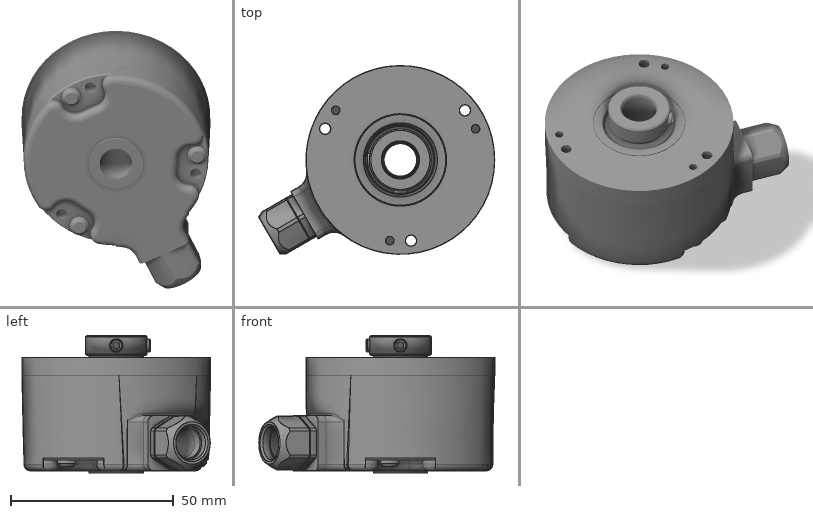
import cadquery as cq
import math


top_of_part = 42.3
case_bottom = 0.7
cover_bottom = 29.95
cover_top = 35.6

case_radius = 29.0
case_foot_radius = 28.35
foot_round = 2.0

shaft_radius = 8.35
bore_radius = 5.0
upper_bore_radius = 5.3
bore_mouth_radius = 5.6
bore_mouth_depth = 1.1
bore_mouth_chamfer = 0.3
collar_radius = 9.5
collar_bottom = 36.2
collar_chamfer = 0.4

set_screw_radius = 2.0
set_screw_reach = 10.5
set_screw_chamfer = 0.35
set_screw_height = 39.2
set_screw_angles = [180, 270]
socket_across_corners = 2.3
socket_depth = 1.45

recess_mouth_radius = 11.4
recess_wall_radius = 11.2
recess_floor_radius = 10.6
recess_shield_radius = 10.3
recess_chamfer = 0.3
recess_depth = 1.6
shield_rim_depth = 1.15
shield_top_depth = 0.8
groove_inner_radius = 13.9
groove_outer_radius = 14.2
groove_depth = 0.3

hole_circle_radius = 25.0
pair_angles = [30, 150, 270]
pair_half_angle = 7.5
through_hole_radius = 1.7
blind_hole_radius = 1.3
blind_hole_depth = 5.8

pocket_ceiling = 4.05
pocket_lip_height = 0.6
pocket_lip_width = 0.35
pocket_half_width = 10.7
pocket_back = 18.85
pocket_inner_radius = 4.35
pocket_flat_half_width = 2.6
screw_head_radius = 2.9
screw_head_tip_radius = 1.9
screw_head_rim = 3.05
screw_head_bottom = 2.0

gland_angle = 210
boss_face = 34.0
boss_half_width = 8.4
boss_top = 17.7
boss_root_radius = 5.0
boss_edge_round = 1.95
boss_top_root_radius = 0.6
pad_foot_radius = 28.85
pad_top_half_width = 13.8
pad_foot_half_width = 12.2

gland_height = 9.3
nut_across_flats = 14.9
nut_corner_radius = 8.3
nut_end = 46.5
nut_end_radius = 6.5
nut_bevel_length = 3.05
nut_groove_place = 36.1
nut_groove_width = 0.3
nut_groove_depth = 0.15

gland_mouth_radius = 5.7
gland_mouth_chamfer = 0.7
gland_entry_radius = 5.2
gland_entry_depth = 3.05
gland_seal_radius = 4.7
gland_seal_length = 3.25
gland_bore_radius = 4.6
gland_bore_depth = 18.85

cutter_margin = 3.6
selection_gap = 0.1


def cylinder(radius, bottom, top):
    """Cylinder about Z between two heights."""
    return cq.Workplane("XY").workplane(offset=bottom).circle(radius).extrude(top - bottom)


def turned(points):
    """Revolve a (radius, height) outline about Z."""
    return cq.Workplane("XZ").polyline(points).close().revolve(360, (0, 0, 0), (0, 1, 0))


def about_z(shape, angle):
    """Turn a shape about the part axis, in degrees."""
    return shape.rotate((0, 0, 0), (0, 0, 1), angle)


def lay_outward(shape, height, angle):
    """Lay a shape built along Z so that it points radially outward at a height and angle."""
    laid = shape.rotate((0, 0, 0), (0, 1, 0), 90).translate((0, 0, height))
    return about_z(laid, angle)


def on_hole_circle(angle):
    """X and Y of a point on the cover hole circle."""
    turn = math.radians(angle)
    return hole_circle_radius * math.cos(turn), hole_circle_radius * math.sin(turn)


def drafted_drum(foot_radius):
    """Case-high drum with a drafted wall and a rounded foot."""
    return turned([
        (0, case_bottom), (foot_radius, case_bottom), (case_radius, cover_bottom), (0, cover_bottom),
    ]).faces("<Z").edges().fillet(foot_round)


def make_pad():
    """Slightly drafted strip of case wall behind the gland boss (along +X), narrowing downwards."""
    wedge = (
        cq.Workplane("YZ")
        .polyline([
            (-pad_foot_half_width, case_bottom), (pad_foot_half_width, case_bottom),
            (pad_top_half_width, cover_bottom), (-pad_top_half_width, cover_bottom),
        ])
        .close()
        .extrude(case_radius)
    )
    return wedge.intersect(drafted_drum(pad_foot_radius))


def make_boss():
    """Square gland boss along +X whose sides sweep into the case on large root arcs."""
    root_v = boss_half_width + boss_root_radius
    root_u = math.sqrt((case_radius + boss_root_radius) ** 2 - root_v ** 2)
    share = case_radius / (case_radius + boss_root_radius)
    end_u, end_v = root_u * share, root_v * share
    middle_angle = (math.atan2(-root_v, -root_u) - math.pi / 2) / 2
    middle_u = root_u + boss_root_radius * math.cos(middle_angle)
    middle_v = root_v + boss_root_radius * math.sin(middle_angle)
    boss = (
        cq.Workplane("XY").workplane(offset=case_bottom)
        .moveTo(0, -end_v)
        .lineTo(end_u, -end_v)
        .threePointArc((middle_u, -middle_v), (root_u, -boss_half_width))
        .lineTo(boss_face, -boss_half_width)
        .lineTo(boss_face, boss_half_width)
        .lineTo(root_u, boss_half_width)
        .threePointArc((middle_u, middle_v), (end_u, end_v))
        .lineTo(0, end_v)
        .close()
        .extrude(boss_top - case_bottom)
    )
    behind_face = cq.selectors.BoxSelector(
        (end_u, -end_v, 0),
        (boss_face - selection_gap, end_v, boss_top + selection_gap),
    )
    return boss.edges(behind_face).edges("not |Z").fillet(boss_edge_round)


def make_boss_on_pad():
    """Boss and pad joined, with a small fillet where the boss top meets the pad."""
    joined = make_pad().union(make_boss())
    top_root = joined.edges(cq.selectors.BoxSelector(
        (case_foot_radius, -boss_half_width, boss_top - selection_gap),
        (case_radius, boss_half_width, boss_top + selection_gap),
    ))
    return about_z(top_root.fillet(boss_top_root_radius), gland_angle)


def make_pocket():
    """Cutter for one rim pocket, opening towards +X.

    A plate below the case blends into the pocket walls, so the cut leaves their lower edges rounded.
    """
    inner_end = pocket_back + pocket_inner_radius
    inner_half = pocket_flat_half_width + pocket_inner_radius
    mouth_x = math.sqrt(case_foot_radius ** 2 - pocket_half_width ** 2)
    flare_width = pocket_half_width - inner_half
    flare_radius = (flare_width ** 2 + (mouth_x - inner_end) ** 2) / (2 * flare_width)
    bend = pocket_inner_radius * math.sqrt(0.5)
    flare_bend = flare_radius * math.sqrt(0.5)
    flare_mid = (inner_end + flare_bend, inner_half + flare_radius - flare_bend)
    inner_mid = (inner_end - bend, pocket_flat_half_width + bend)
    outside = case_radius + cutter_margin
    plate = (
        cq.Workplane("XY").workplane(offset=case_bottom - cutter_margin)
        .rect(4 * outside, 4 * outside)
        .extrude(cutter_margin)
    )
    pocket = (
        cq.Workplane("XY").workplane(offset=case_bottom)
        .moveTo(outside, -pocket_half_width)
        .lineTo(mouth_x, -pocket_half_width)
        .threePointArc((flare_mid[0], -flare_mid[1]), (inner_end, -inner_half))
        .threePointArc((inner_mid[0], -inner_mid[1]), (pocket_back, -pocket_flat_half_width))
        .lineTo(pocket_back, pocket_flat_half_width)
        .threePointArc(inner_mid, (inner_end, inner_half))
        .threePointArc(flare_mid, (mouth_x, pocket_half_width))
        .lineTo(outside, pocket_half_width)
        .close()
        .extrude(pocket_ceiling - case_bottom)
    )
    cutter = plate.union(pocket)
    wall_foot = cq.selectors.BoxSelector(
        (0, -outside, case_bottom - selection_gap),
        (outside - selection_gap, outside, case_bottom + selection_gap),
    )
    return cutter.edges(wall_foot).fillet(foot_round)


def make_pocket_lip():
    """Cutter that bevels the case wall above one pocket, opening towards +X."""
    lip_top = pocket_ceiling + pocket_lip_height
    draft = (case_radius - case_foot_radius) / (cover_bottom - case_bottom)
    lip_radius = case_foot_radius + draft * (lip_top - case_bottom)
    outside = case_radius + cutter_margin
    ring = turned([
        (lip_radius - pocket_lip_width, pocket_ceiling), (outside, pocket_ceiling),
        (outside, lip_top), (lip_radius, lip_top),
    ])
    window = cq.Workplane("XY").rect(2 * outside, 2 * pocket_half_width).extrude(lip_top)
    window = window.translate((outside, 0, 0))
    return ring.intersect(window)


def make_set_screw():
    """Set screw head along Z."""
    return cylinder(set_screw_radius, shaft_radius, set_screw_reach).faces(">Z").chamfer(set_screw_chamfer)


def make_socket():
    """Cutter for the hexagon socket of a set screw along Z."""
    return (
        cq.Workplane("XY").workplane(offset=set_screw_reach)
        .polygon(6, socket_across_corners)
        .extrude(-socket_depth)
    )


def make_nut():
    """Gland nut along Z: hexagon with turned corners, a bevelled end and a parting groove."""
    hexagon = (
        cq.Workplane("XY").workplane(offset=boss_face)
        .polygon(6, nut_across_flats / math.cos(math.pi / 6))
        .extrude(nut_end - boss_face)
    )
    envelope = turned([
        (0, boss_face), (nut_corner_radius, boss_face), (nut_corner_radius, nut_end - nut_bevel_length),
        (nut_end_radius, nut_end), (0, nut_end),
    ])
    groove_end = nut_groove_place + nut_groove_width
    groove = (
        cylinder(nut_corner_radius + cutter_margin, nut_groove_place, groove_end)
        .cut(
            cq.Workplane("XY").workplane(offset=nut_groove_place)
            .polygon(6, (nut_across_flats - 2 * nut_groove_depth) / math.cos(math.pi / 6))
            .extrude(nut_groove_width)
            .intersect(cylinder(nut_corner_radius - nut_groove_depth, nut_groove_place, groove_end))
        )
    )
    return hexagon.intersect(envelope).cut(groove)


def make_gland_bore():
    """Stepped bore along Z: chamfered entry, tapered seal and a plain bore behind it."""
    seal_top = nut_end - gland_entry_depth
    seal_bottom = seal_top - gland_seal_length
    bore_floor = nut_end - gland_bore_depth
    return turned([
        (0, bore_floor), (gland_bore_radius, bore_floor), (gland_bore_radius, seal_bottom),
        (gland_seal_radius, seal_top), (gland_entry_radius, seal_top),
        (gland_entry_radius, nut_end - gland_mouth_chamfer), (gland_mouth_radius, nut_end), (0, nut_end),
    ])


body = drafted_drum(case_foot_radius)
for angle in pair_angles:
    body = body.cut(about_z(make_pocket(), angle))

body = body.union(make_boss_on_pad())
for angle in pair_angles:
    body = body.cut(about_z(make_pocket_lip(), angle))

cover = cylinder(case_radius, cover_bottom, cover_top)
cover = cover.cut(turned([
    (groove_inner_radius, cover_top - groove_depth), (groove_outer_radius, cover_top - groove_depth),
    (groove_outer_radius, cover_top), (groove_inner_radius, cover_top),
]))
cover = cover.cut(turned([
    (0, cover_top), (recess_mouth_radius, cover_top), (recess_wall_radius, cover_top - recess_chamfer),
    (recess_floor_radius, cover_top - recess_depth), (recess_shield_radius, cover_top - recess_depth),
    (recess_shield_radius, cover_top - shield_rim_depth), (shaft_radius, cover_top - shield_top_depth),
    (0, cover_top - shield_top_depth),
]))
body = body.union(cover)

collar = cylinder(collar_radius, collar_bottom, top_of_part).faces("<Z or >Z").chamfer(collar_chamfer)
body = body.union(cylinder(shaft_radius, 0, top_of_part)).union(collar)
for angle in set_screw_angles:
    body = body.union(lay_outward(make_set_screw(), set_screw_height, angle))
    body = body.cut(lay_outward(make_socket(), set_screw_height, angle))

taper_end = top_of_part - bore_mouth_depth
body = body.cut(turned([
    (0, 0), (bore_radius, 0), (bore_radius, cover_bottom), (upper_bore_radius, cover_bottom),
    (upper_bore_radius, taper_end),
    (bore_mouth_radius, top_of_part - bore_mouth_chamfer),
    (bore_mouth_radius + bore_mouth_chamfer, top_of_part), (0, top_of_part),
]))

screw_head = turned([
    (0, screw_head_bottom), (screw_head_tip_radius, screw_head_bottom), (screw_head_radius, screw_head_rim),
    (screw_head_radius, pocket_ceiling), (0, pocket_ceiling),
])
for angle in pair_angles:
    through_place = on_hole_circle(angle + pair_half_angle)
    blind_place = on_hole_circle(angle - pair_half_angle)
    body = body.cut(cylinder(through_hole_radius, 0, cover_top).translate((*through_place, 0)))
    blind_hole = cylinder(blind_hole_radius, cover_top - blind_hole_depth, cover_top)
    body = body.cut(blind_hole.translate((*blind_place, 0)))
    body = body.union(screw_head.translate((*blind_place, 0)))

body = body.union(lay_outward(make_nut(), gland_height, gland_angle))
result = body.cut(lay_outward(make_gland_bore(), gland_height, gland_angle))